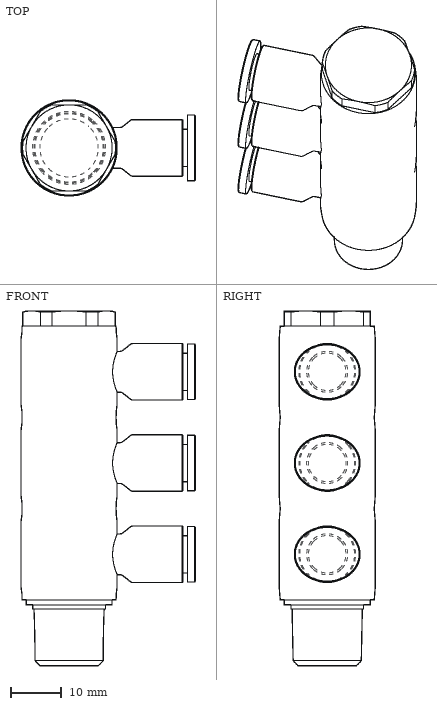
import cadquery as cq
import math

module_count = 3
module_pitch = 18.0
module_radius = 9.5
module_end_radius = 9.3
module_end_band = 2.5
body_bottom = 13.0
body_top = body_bottom + module_count * module_pitch

hex_across_flats = 17.0
hex_corner_radius = 9.15
hex_height = 3.0
hex_top_radius = 8.5
hex_chamfer_height = 0.25
part_height = body_top + hex_height

collar_radius = 8.5
collar_bottom = 12.0
relief_radius = 7.2
thread_top = 11.2
thread_top_radius = 6.95
thread_bottom_radius = 6.75
thread_chamfer_height = 1.0
thread_tip_radius = 5.75

neck_radius = 4.05
neck_end = 10.35
shell_radius = 5.6
shell_cone_end = 12.3
shell_end = 22.5
shell_edge_chamfer = 0.2
neck_fillet = 0.8
shoulder_fillet = 0.8
stem_radius = 3.7
ring_start = 23.35
ring_end = 24.95
ring_width = 13.0
ring_height = 11.0
ring_edge_chamfer = 0.2


def turn_about_z(profile):
    """Solid of revolution about Z from (radius, height) points."""
    return cq.Workplane("YZ").polyline(profile).close().revolve(360, (0, 0, 0), (0, 1, 0))


def round_edge_at(distance):
    """Selector for the circular fitting edge centred on the X axis at this distance."""
    return cq.selectors.NearestToPointSelector((distance, 0, 0))


def make_module(bottom):
    """Round body module with slightly tapered bands at both ends."""
    top = bottom + module_pitch
    profile = [
        (0, bottom),
        (module_end_radius, bottom),
        (module_radius, bottom + module_end_band),
        (module_radius, top - module_end_band),
        (module_end_radius, top),
        (0, top),
    ]
    return turn_about_z(profile)


def make_hex_cap():
    """Hexagon with flats facing +Y and -Y, corners turned round and top edge chamfered."""
    hex_across_corners = hex_across_flats / math.cos(math.pi / 6)
    hexagon = cq.Workplane("XY", origin=(0, 0, body_top)).polygon(6, hex_across_corners).extrude(hex_height)
    turned_profile = [
        (0, body_top),
        (hex_corner_radius, body_top),
        (hex_corner_radius, part_height - hex_chamfer_height),
        (hex_top_radius, part_height),
        (0, part_height),
    ]
    turned = turn_about_z(turned_profile)
    return hexagon.intersect(turned)


def make_spigot():
    """Collar, relief and tapered thread envelope with a chamfered tip."""
    profile = [
        (0, 0),
        (thread_tip_radius, 0),
        (thread_bottom_radius, thread_chamfer_height),
        (thread_top_radius, thread_top),
        (relief_radius, thread_top),
        (relief_radius, collar_bottom),
        (collar_radius, collar_bottom),
        (collar_radius, body_bottom),
        (0, body_bottom),
    ]
    return turn_about_z(profile)


def make_fitting(height):
    """Neck, flared shell, stem and oval release ring at the given height."""
    profile = [
        (0, 0),
        (0, neck_radius),
        (neck_end, neck_radius),
        (shell_cone_end, shell_radius),
        (shell_end, shell_radius),
        (shell_end, 0),
    ]
    shell = cq.Workplane("XY").polyline(profile).close().revolve(360, (0, 0, 0), (1, 0, 0))
    shell = shell.edges(round_edge_at(neck_end)).fillet(neck_fillet)
    shell = shell.edges(round_edge_at(shell_cone_end)).fillet(shoulder_fillet)
    shell = shell.faces(">X").edges().chamfer(shell_edge_chamfer)
    stem = cq.Workplane("YZ").circle(stem_radius).extrude(ring_end)
    ring = (
        cq.Workplane("YZ", origin=(ring_start, 0, 0))
        .ellipse(ring_width / 2, ring_height / 2)
        .extrude(ring_end - ring_start)
        .faces(">X").edges().chamfer(ring_edge_chamfer)
    )
    return shell.union(stem).union(ring).translate((0, 0, height))


result = make_spigot().union(make_hex_cap())
for index in range(module_count):
    module_bottom = body_bottom + index * module_pitch
    result = result.union(make_module(module_bottom))
    result = result.union(make_fitting(module_bottom + module_pitch / 2))